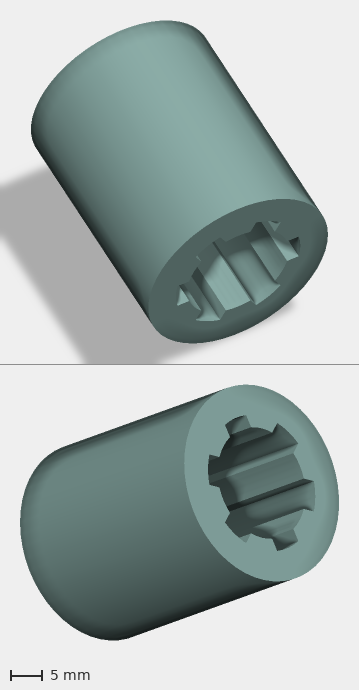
import cadquery as cq

length = 40.0
outer_diameter = 31.75
minor_diameter = 18.0
major_diameter = 22.0
groove_width = 5.0
groove_count = 6


def cylinder(diameter):
    """Full-length cylinder along X."""
    return cq.Workplane("YZ").circle(diameter / 2).extrude(length)


def groove_bars():
    """Bars through the axis, each covering two opposite grooves."""
    bars = cq.Workplane("YZ")
    for index in range(groove_count // 2):
        bar = (
            cq.Workplane("YZ")
            .rect(outer_diameter, groove_width)
            .extrude(length)
            .rotate((0, 0, 0), (1, 0, 0), index * 360 / groove_count)
        )
        bars = bars.add(bar)
    return bars.combine()


grooves = groove_bars().intersect(cylinder(major_diameter))

result = cylinder(outer_diameter).cut(cylinder(minor_diameter)).cut(grooves)